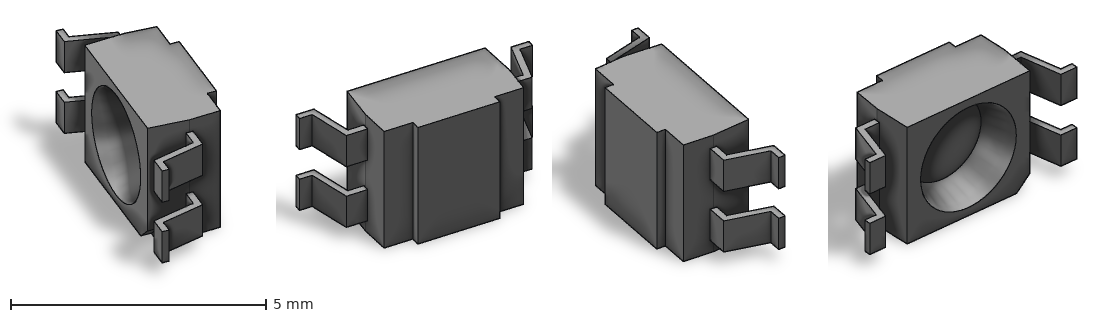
import cadquery as cq


SPAN_X = 5.2
DEPTH_Y = 1.9
HEIGHT_Z = 2.8

RIDGE_WIDTH = 3.205
FRONT_WIDTH = 3.08
BACK_WIDTH = 3.115
PAD_WIDTH = 1.83
PAD_THICKNESS = 0.2

LEAD_THICKNESS = 0.15
LEAD_HEIGHT_Z = 0.75
LEAD_PITCH_Z = 1.455
LEAD_TOP_Y = 1.095
FOOT_LENGTH = 0.4
LEG_RUN = 0.245
LEG_WIDTH_X = 0.12
LEAD_EMBED = 0.08

WELL_MOUTH_DIAMETER = 2.4
WELL_FLOOR_DIAMETER = 1.915
WELL_DEPTH = 0.8

MARK_LEG = 0.35
MARK_DEPTH = 0.225

FRONT_Y = LEAD_THICKNESS
RIDGE_Y = LEAD_TOP_Y - LEAD_THICKNESS / 2
BACK_Y = DEPTH_Y - PAD_THICKNESS


def extrude_along_z(points, height, center_z=0.0):
    """Prism with an XY outline, centred on the given Z level."""
    outline = cq.Workplane("XY", origin=(0, 0, center_z)).polyline(points).close()
    return outline.extrude(height / 2, both=True)


def make_body():
    right_side = [
        (FRONT_WIDTH / 2, FRONT_Y),
        (RIDGE_WIDTH / 2, RIDGE_Y),
        (BACK_WIDTH / 2, BACK_Y),
        (PAD_WIDTH / 2, BACK_Y),
        (PAD_WIDTH / 2, DEPTH_Y),
    ]
    left_side = [(-x, y) for x, y in reversed(right_side)]
    return extrude_along_z(right_side + left_side, HEIGHT_Z)


def make_well():
    mouth = cq.Workplane("XZ", origin=(0, FRONT_Y, 0)).circle(WELL_MOUTH_DIAMETER / 2)
    floor = mouth.workplane(offset=-WELL_DEPTH).circle(WELL_FLOOR_DIAMETER / 2)
    return floor.loft(ruled=True)


def make_corner_mark():
    """Shallow triangular notch that marks one corner of the front face."""
    wall_slope = (RIDGE_WIDTH - FRONT_WIDTH) / 2 / (RIDGE_Y - FRONT_Y)
    corner_x = FRONT_WIDTH / 2 + wall_slope * MARK_DEPTH
    corner_z = -HEIGHT_Z / 2
    triangle = [
        (corner_x - MARK_LEG, corner_z),
        (corner_x, corner_z),
        (corner_x, corner_z + MARK_LEG),
    ]
    front_face = cq.Workplane("XZ", origin=(0, FRONT_Y, 0))
    return front_face.polyline(triangle).close().extrude(-MARK_DEPTH)


def make_lead(side, center_z):
    """Gull-wing lead; side is +1 for +X and -1 for -X."""
    tip_x = SPAN_X / 2
    heel_x = tip_x - FOOT_LENGTH
    knee_x = heel_x - LEG_RUN
    root_x = RIDGE_WIDTH / 2 - LEAD_EMBED
    profile = [
        (tip_x, 0),
        (heel_x, 0),
        (knee_x, LEAD_TOP_Y - LEAD_THICKNESS),
        (root_x, LEAD_TOP_Y - LEAD_THICKNESS),
        (root_x, LEAD_TOP_Y),
        (knee_x + LEG_WIDTH_X, LEAD_TOP_Y),
        (heel_x + LEG_WIDTH_X, LEAD_THICKNESS),
        (tip_x, LEAD_THICKNESS),
    ]
    return extrude_along_z([(side * x, y) for x, y in profile], LEAD_HEIGHT_Z, center_z)


result = make_body().cut(make_well()).cut(make_corner_mark())
for side in (-1, 1):
    for row in (-1, 1):
        result = result.union(make_lead(side, row * LEAD_PITCH_Z / 2))